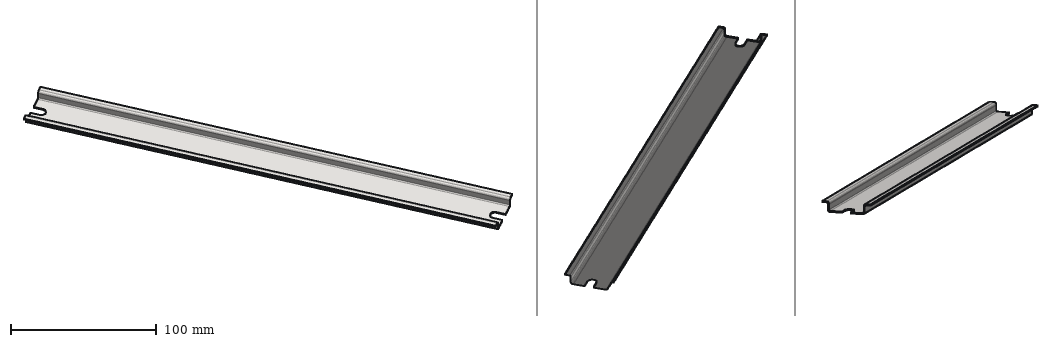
import cadquery as cq

length = 342.0
width = 35.0
height = 7.5
sheet = 1.0
channel_width = 27.0
inner_radius = 0.8
outer_radius = inner_radius + sheet

slot_width = 6.5
slot_depth = 10.0


def rail():
    """Hat-shaped section with rounded bends, centred on the origin."""
    flanges = cq.Workplane("YZ").rect(width, sheet).extrude(length / 2, both=True)
    flanges = flanges.translate((0, 0, (height - sheet) / 2))
    channel = cq.Workplane("YZ").rect(channel_width, height).extrude(length / 2, both=True)
    inner_width = channel_width - 2 * sheet
    hollow = (
        cq.Workplane("YZ")
        .center(0, sheet)
        .rect(inner_width, height)
        .extrude(length / 2, both=True)
        .edges("|X and <Z")
        .fillet(inner_radius)
    )
    section = flanges.union(channel.edges("|X and <Z").fillet(outer_radius))
    under_flange = height / 2 - sheet
    wall = channel_width / 2
    for side in (-1, 1):
        corner = cq.selectors.NearestToPointSelector((0, side * wall, under_flange))
        section = section.edges("|X").edges(corner).fillet(inner_radius)
    section = section.cut(hollow)
    for side in (-1, 1):
        corner = cq.selectors.NearestToPointSelector((0, side * inner_width / 2, height / 2))
        section = section.edges("|X").edges(corner).fillet(outer_radius)
    return section


def end_slots():
    """Round-bottomed slots open at both ends of the rail."""
    return (
        cq.Workplane("XY")
        .pushPoints([(-length / 2, 0), (length / 2, 0)])
        .slot2D(2 * slot_depth, slot_width)
        .extrude(height, both=True)
    )


result = rail().cut(end_slots())